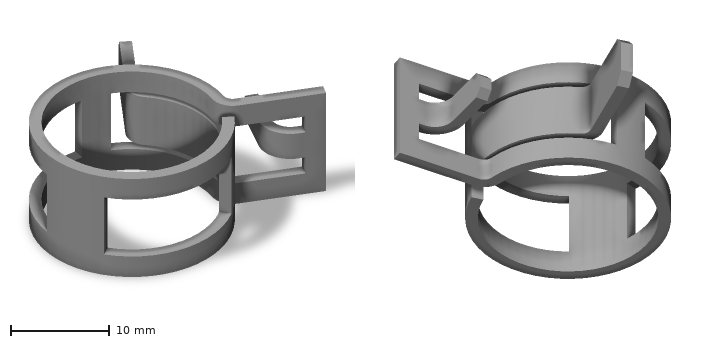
import cadquery as cq
import math


thickness = 1.3
ring_outer_radius = 10.49
ring_inner_radius = ring_outer_radius - thickness
band_height = 12.0
tongue_height = 5.87
window_height = 6.97

arm_angle = 50.0
arm_lower_offset = 0.2
arm_reach = 20.46
arm_bend_radius = 1.0
arm_upper_offset = arm_lower_offset + thickness

shoulder_angle = 41.0
slot_end_angle = 180 - shoulder_angle
bottom_bridge_half_angle = 20.0
side_window_top_angle = 21.0

slot_reach = 18.27
tab_bend_reach = 17.55
tab_bend_radius = 2.05
tab_turn = 88.7
tab_straight = 5.62
tab_height = 3.05

tongue_chamfer = 1.18
tab_chamfer = 0.85


def polar(radius, angle, centre=(0.0, 0.0)):
    """Point at a radius and an angle in degrees about a centre."""
    turn = math.radians(angle)
    return (centre[0] + radius * math.cos(turn), centre[1] + radius * math.sin(turn))


def arm_point(along, sideways):
    """Point in the right arm's own frame, with sideways positive to the arm's left."""
    return polar(sideways, arm_angle + 90, polar(along, arm_angle))


def extrude_centred(outline, height):
    """Extrude an outline by equal amounts above and below the XY plane."""
    return outline.extrude(height / 2, both=True)


def bent_strip(ring_end_angle, reach, height):
    """Right arm, its bend, and the ring arc running anticlockwise to ring_end_angle."""
    bend_sideways = arm_upper_offset + arm_bend_radius
    bend_along = math.sqrt((ring_outer_radius + arm_bend_radius) ** 2 - bend_sideways ** 2)
    bend_centre = arm_point(bend_along, bend_sideways)
    ring_start_angle = math.degrees(math.atan2(bend_centre[1], bend_centre[0]))
    bend_start_angle = ring_start_angle + 180
    bend_end_angle = arm_angle + 270
    bend_middle_angle = (bend_start_angle + bend_end_angle) / 2
    ring_middle_angle = (ring_start_angle + ring_end_angle) / 2
    bend_outer_radius = arm_bend_radius + thickness

    outline = (
        cq.Workplane("XY")
        .moveTo(*polar(ring_outer_radius, ring_end_angle))
        .threePointArc(
            polar(ring_outer_radius, ring_middle_angle),
            polar(ring_outer_radius, ring_start_angle),
        )
        .threePointArc(
            polar(arm_bend_radius, bend_middle_angle, bend_centre),
            arm_point(bend_along, arm_upper_offset),
        )
        .lineTo(*arm_point(reach, arm_upper_offset))
        .lineTo(*arm_point(reach, arm_lower_offset))
        .lineTo(*arm_point(bend_along, arm_lower_offset))
        .threePointArc(
            polar(bend_outer_radius, bend_middle_angle, bend_centre),
            polar(ring_inner_radius, ring_start_angle),
        )
        .threePointArc(
            polar(ring_inner_radius, ring_middle_angle),
            polar(ring_inner_radius, ring_end_angle),
        )
        .close()
    )
    return extrude_centred(outline, height)


def side_window():
    """Cutter for the right side window, with radial end walls."""
    start_angle = -90 + bottom_bridge_half_angle
    middle_angle = (start_angle + side_window_top_angle) / 2
    clearance = thickness / 2
    inner = ring_inner_radius - clearance
    outer = ring_outer_radius + clearance
    outline = (
        cq.Workplane("XY")
        .moveTo(*polar(inner, start_angle))
        .lineTo(*polar(outer, start_angle))
        .threePointArc(polar(outer, middle_angle), polar(outer, side_window_top_angle))
        .lineTo(*polar(inner, side_window_top_angle))
        .threePointArc(polar(inner, middle_angle), polar(inner, start_angle))
        .close()
    )
    return extrude_centred(outline, window_height)


def chamfer_tip(strip, tip, direction, size):
    """Chamfer the two tip corners: the edges across the thickness nearest the tip."""
    side = polar(1, direction + 90)
    across_thickness = strip.edges(cq.selectors.ParallelDirSelector(cq.Vector(*side, 0)))
    upper = across_thickness.edges(cq.selectors.NearestToPointSelector((*tip, band_height)))
    lower = across_thickness.edges(cq.selectors.NearestToPointSelector((*tip, -band_height)))
    return strip.newObject(upper.vals() + lower.vals()).chamfer(size)


def tongue():
    """Narrow end of the strip, running through the band's slot to the left arm."""
    strip = bent_strip(slot_end_angle, arm_reach, tongue_height)
    tip = arm_point(arm_reach, (arm_lower_offset + arm_upper_offset) / 2)
    return chamfer_tip(strip, tip, arm_angle, tongue_chamfer).mirror("YZ")


def catch_tab():
    """Tab that continues the arm at the slot end and curls back over the ring."""
    bend_centre = arm_point(tab_bend_reach, arm_upper_offset + tab_bend_radius)
    bend_outer_radius = tab_bend_radius + thickness
    start_angle = arm_angle - 90
    end_angle = start_angle - tab_turn
    middle_angle = (start_angle + end_angle) / 2
    direction = end_angle - 90
    inner_end = polar(tab_bend_radius, end_angle, bend_centre)
    outer_end = polar(bend_outer_radius, end_angle, bend_centre)
    middle_end = polar(tab_bend_radius + thickness / 2, end_angle, bend_centre)
    outline = (
        cq.Workplane("XY")
        .moveTo(*arm_point(slot_reach, arm_upper_offset))
        .lineTo(*arm_point(tab_bend_reach, arm_upper_offset))
        .threePointArc(polar(tab_bend_radius, middle_angle, bend_centre), inner_end)
        .lineTo(*polar(tab_straight, direction, inner_end))
        .lineTo(*polar(tab_straight, direction, outer_end))
        .lineTo(*outer_end)
        .threePointArc(
            polar(bend_outer_radius, middle_angle, bend_centre),
            arm_point(tab_bend_reach, arm_lower_offset),
        )
        .lineTo(*arm_point(slot_reach, arm_lower_offset))
        .close()
    )
    tab = extrude_centred(outline, tab_height)
    tip = polar(tab_straight, direction, middle_end)
    return chamfer_tip(tab, tip, direction, tab_chamfer)


band = bent_strip(360 + shoulder_angle, arm_reach, band_height)
band = band.cut(bent_strip(slot_end_angle, slot_reach, window_height))

window = side_window()
band = band.cut(window).cut(window.mirror("YZ"))

result = band.union(tongue()).union(catch_tab())